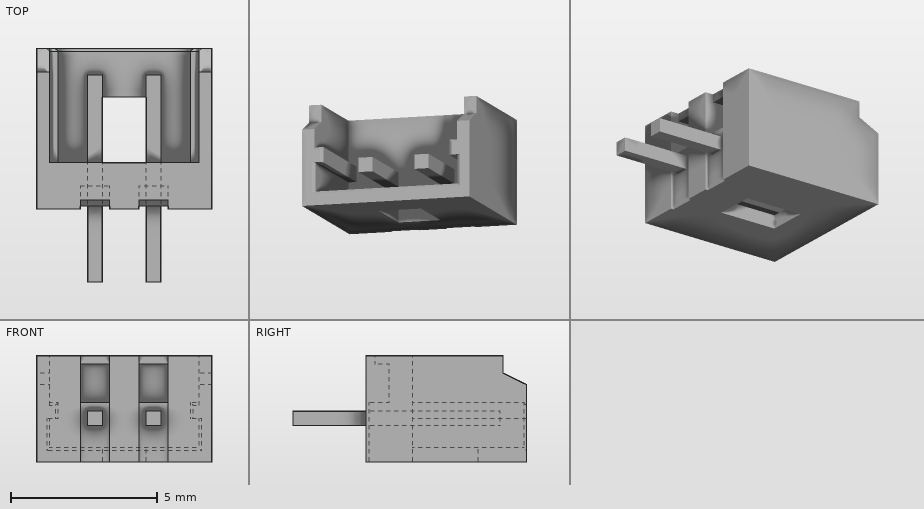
import cadquery as cq

WIDTH = 6.0
DEPTH = 5.5
HEIGHT = 3.65
OVERALL_LENGTH = 8.0

SIDE_WALL = 0.45
FRONT_WALL = 1.59
FLOOR_TOP = 0.5
CAVITY_WIDTH = WIDTH - 2 * SIDE_WALL

RIB_WIDTH = 0.29
RIB_BOTTOM = 1.5
RIB_TOP = 2.03

BEVEL = 0.1

CORNER_LENGTH = 0.8
CORNER_FRONT_Z = 3.05
CORNER_REAR_Z = 2.66

PIN_PITCH = 2.0
PIN_SIZE = PIN_PITCH / 4
PIN_CENTER_Z = 1.5
PIN_FRONT_Y = DEPTH - OVERALL_LENGTH
PIN_REAR_Y = 4.6
PIN_XS = [-PIN_PITCH / 2, PIN_PITCH / 2]

WINDOW_WIDTH = PIN_PITCH - PIN_SIZE
WINDOW_REAR_Y = 3.84

GROOVE_WIDTH = PIN_PITCH / 2
GROOVE_LOWER_DEPTH = 0.1
GROOVE_UPPER_DEPTH = 0.31
POCKET_DEPTH = 0.79
POCKET_BOTTOM = 2.04
POCKET_TOP = 3.35


def block(width, y_front, y_rear, z_bottom, z_top, x=0.0):
    """Box centred on x, between the given Y and Z limits."""
    size_y = y_rear - y_front
    size_z = z_top - z_bottom
    box = cq.Workplane("XY").box(width, size_y, size_z, centered=(True, False, False))
    return box.translate((x, y_front, z_bottom))


def channel_flare():
    """Cutter that widens the rear mouth below the ribs sideways and downwards."""
    height = RIB_BOTTOM - FLOOR_TOP
    front = cq.Workplane("XZ", origin=(0, DEPTH - BEVEL, RIB_BOTTOM - height / 2))
    front = front.rect(CAVITY_WIDTH, height)
    rear = front.workplane(offset=-BEVEL).center(0, -BEVEL / 2)
    return rear.rect(CAVITY_WIDTH + 2 * BEVEL, height + BEVEL).loft(ruled=True)


def make_rib(side):
    """Guide rib on the given side (-1 or 1), bevelled at the rear along its top and inner face."""
    root_width = RIB_WIDTH + BEVEL
    x = side * ((CAVITY_WIDTH + BEVEL - RIB_WIDTH) / 2)
    rib = block(root_width, FRONT_WALL, DEPTH, RIB_BOTTOM, RIB_TOP, x)
    inner_edge = ">Y and <X" if side > 0 else ">Y and >X"
    return rib.edges(f"({inner_edge}) or (>Y and >Z)").chamfer(BEVEL)


def rear_corner_cutter():
    """Prism across the full width that removes the upper rear corners."""
    step_y = DEPTH - CORNER_LENGTH
    outline = [(step_y, HEIGHT), (step_y, CORNER_FRONT_Z), (DEPTH, CORNER_REAR_Z), (DEPTH, HEIGHT)]
    return cq.Workplane("YZ").polyline(outline).close().extrude(WIDTH / 2, both=True)


def make_pin(x):
    """Square pin through the front wall."""
    z_bottom = PIN_CENTER_Z - PIN_SIZE / 2
    return block(PIN_SIZE, PIN_FRONT_Y, PIN_REAR_Y, z_bottom, z_bottom + PIN_SIZE, x)


def make_housing():
    body = block(WIDTH, 0, DEPTH, 0, HEIGHT)

    body = body.cut(block(CAVITY_WIDTH, FRONT_WALL, DEPTH, FLOOR_TOP, HEIGHT))
    body = body.cut(channel_flare())
    for side in (-1, 1):
        body = body.union(make_rib(side))
    body = body.cut(rear_corner_cutter())
    body = body.cut(block(WINDOW_WIDTH, FRONT_WALL, WINDOW_REAR_Y, 0, FLOOR_TOP))

    for x in PIN_XS:
        body = body.cut(block(GROOVE_WIDTH, 0, GROOVE_LOWER_DEPTH, 0, HEIGHT, x))
        body = body.cut(block(GROOVE_WIDTH, 0, GROOVE_UPPER_DEPTH, POCKET_BOTTOM, HEIGHT, x))
        body = body.cut(block(GROOVE_WIDTH, 0, POCKET_DEPTH, POCKET_BOTTOM, POCKET_TOP, x))
        body = body.cut(make_pin(x))
    return body


housing = make_housing().solids()
pins = [make_pin(x) for x in PIN_XS]

result = cq.Compound.makeCompound([housing.val(), *[pin.val() for pin in pins]])